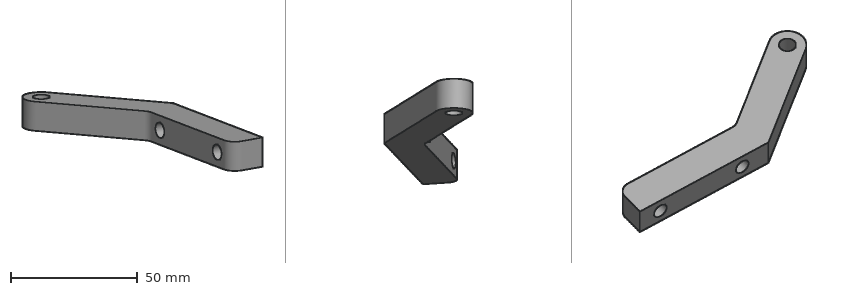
import cadquery as cq
import math

thickness = 12.0
arm_width = 15.0

pivot_radius = arm_width / 2
pivot_hole_diameter = 6.75
arm_angle = math.radians(37.45)

straight_bottom_y = 22.71
end_x = 99.66
end_top_drop = 0.05
bend_top_y = straight_bottom_y + arm_width
end_top_y = bend_top_y - end_top_drop
end_corner_radius = 5.0
inner_bend_radius = 5.0

mount_hole_diameter = 6.2
mount_hole_spacing = 40.0
mount_hole_end_distance = 10.0


def arm_edge_x(y, side):
    """X where an edge of the angled arm reaches height y (side: +1 upper, -1 lower)."""
    return (y - side * pivot_radius / math.cos(arm_angle)) / math.tan(arm_angle)


def make_body():
    """Bent bar with a round pivot end, a rounded end corner and a rounded inner bend."""
    tangent_x = pivot_radius * math.sin(arm_angle)
    tangent_y = pivot_radius * math.cos(arm_angle)
    round_end_middle = (-pivot_radius * math.cos(arm_angle), -pivot_radius * math.sin(arm_angle))
    inner_bend = (arm_edge_x(straight_bottom_y, -1), straight_bottom_y)
    end_corner = (end_x, straight_bottom_y)

    body = (
        cq.Workplane("XY")
        .moveTo(tangent_x, -tangent_y)
        .lineTo(*inner_bend)
        .lineTo(*end_corner)
        .lineTo(end_x, end_top_y)
        .lineTo(arm_edge_x(bend_top_y, 1), bend_top_y)
        .lineTo(-tangent_x, tangent_y)
        .threePointArc(round_end_middle, (tangent_x, -tangent_y))
        .close()
        .extrude(thickness)
    )
    body = body.edges(cq.NearestToPointSelector((*inner_bend, thickness / 2))).fillet(inner_bend_radius)
    return body.edges(cq.NearestToPointSelector((*end_corner, thickness / 2))).fillet(end_corner_radius)


def make_pivot_hole():
    """Pivot hole cutter, along Z."""
    return cq.Workplane("XY").circle(pivot_hole_diameter / 2).extrude(thickness)


def make_mount_holes():
    """Cutters for the two mounting holes, at mid thickness."""
    outer_hole_x = end_x - mount_hole_end_distance
    inner_hole_x = outer_hole_x - mount_hole_spacing
    return (
        cq.Workplane("XZ", origin=(0, straight_bottom_y, 0))
        .pushPoints([(x, thickness / 2) for x in (inner_hole_x, outer_hole_x)])
        .circle(mount_hole_diameter / 2)
        .extrude(-arm_width)
    )


result = make_body().cut(make_pivot_hole()).cut(make_mount_holes())